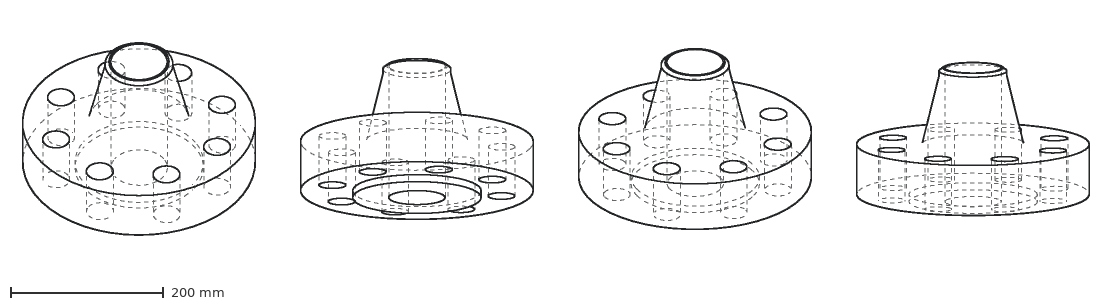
import cadquery as cq

flange_diameter = 304.7
flange_thickness = 66.7
face_diameter = 168.0
face_height = 9.5

total_height = 177.5
hub_base_diameter = 133.2
hub_fillet_radius = 3.0
neck_diameter = 89.0
neck_length = 6.5
bevel_height = 4.0
bevel_width = 5.2

bore_diameter = 73.7
bolt_count = 8
bolt_circle_diameter = 228.5
bolt_hole_diameter = 35.0

flange_top = face_height + flange_thickness
neck_top = total_height - bevel_height
taper_top = neck_top - neck_length


def make_body():
    """Revolve the outer half profile of face, plate, hub and neck about Z."""
    face_radius = face_diameter / 2
    flange_radius = flange_diameter / 2
    hub_base_radius = hub_base_diameter / 2
    neck_radius = neck_diameter / 2
    return (
        cq.Workplane("XZ")
        .lineTo(face_radius, 0)
        .lineTo(face_radius, face_height)
        .lineTo(flange_radius, face_height)
        .lineTo(flange_radius, flange_top)
        .lineTo(hub_base_radius, flange_top)
        .lineTo(neck_radius, taper_top)
        .lineTo(neck_radius, neck_top)
        .lineTo(neck_radius - bevel_width, total_height)
        .lineTo(0, total_height)
        .close()
        .revolve(360, (0, 0, 0), (0, 1, 0))
    )


def fillet_hub_base(body):
    """Round the inner corner where the hub meets the top of the plate."""
    hub_base_edge = cq.selectors.RadiusNthSelector(2)
    return body.edges(hub_base_edge).fillet(hub_fillet_radius)


def make_bore():
    """Plain bore through the full height."""
    return cq.Workplane("XY").circle(bore_diameter / 2).extrude(total_height)


def make_bolt_holes():
    """Ring of through holes, the first one on the +X axis."""
    return (
        cq.Workplane("XY")
        .polarArray(bolt_circle_diameter / 2, 0, 360, bolt_count)
        .circle(bolt_hole_diameter / 2)
        .extrude(flange_top)
    )


body = fillet_hub_base(make_body())
result = body.cut(make_bore()).cut(make_bolt_holes())